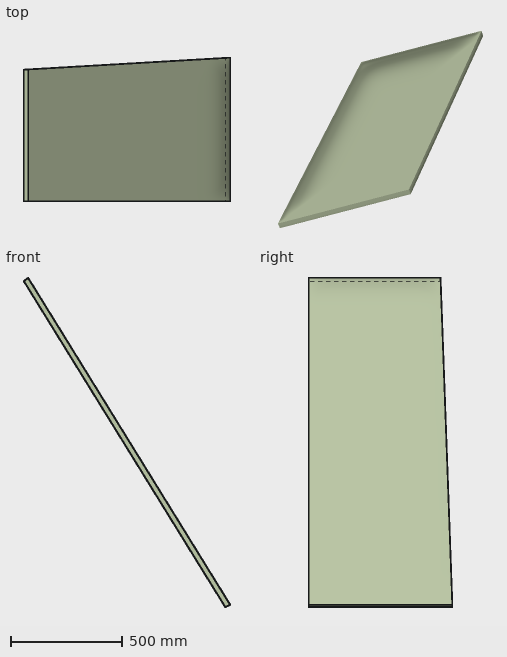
import math

import cadquery as cq

SIZE_X = 927.0
SIZE_Y = 645.78
SIZE_Z = 1478.63

THICKNESS = 25.0
END_BEVEL = math.radians(6.0)
SIDE_BEVEL = math.radians(3.0)
SIDE_TAPER = 52.9

END_SETBACK = THICKNESS * math.tan(END_BEVEL)
SIDE_SETBACK = THICKNESS * math.tan(SIDE_BEVEL)
END_FACE_WIDTH = THICKNESS / math.cos(END_BEVEL)

TILT_ITERATIONS = 30


def fit_slope():
    """Return the upper face's run along X, its drop along Z and its tilt from vertical.

    The upper face stretches from the top of the part to its +X limit. The end faces
    take up the rest of SIZE_X and SIZE_Z, by amounts that depend on the tilt, so the
    tilt is refined repeatedly.
    """
    tilt = math.atan2(SIZE_X, SIZE_Z)
    for _ in range(TILT_ITERATIONS):
        run = SIZE_X - END_FACE_WIDTH * math.cos(tilt + END_BEVEL)
        drop = SIZE_Z - END_FACE_WIDTH * math.sin(tilt - END_BEVEL)
        tilt = math.atan2(run, drop)
    return run, drop, tilt


def upper_face_plane(run, tilt):
    """Plane of the upper face: local x runs down the slope, local y is +Y."""
    return cq.Plane(
        origin=(SIZE_X - run, 0, SIZE_Z),
        xDir=(math.sin(tilt), 0, -math.cos(tilt)),
        normal=(math.cos(tilt), 0, math.sin(tilt)),
    )


def face_outline(length, end_setback, side_setback):
    """Corners of a panel face, moved in at both ends and at the tapered +Y side."""
    def side_y(x):
        return SIZE_Y - SIDE_TAPER * (1 - x / length) - side_setback

    upper_end = end_setback
    lower_end = length - end_setback
    return [
        (upper_end, 0),
        (lower_end, 0),
        (lower_end, side_y(lower_end)),
        (upper_end, side_y(upper_end)),
    ]


def bevelled_panel():
    """Flat tapered panel lofted from its upper face to its smaller lower face."""
    run, drop, tilt = fit_slope()
    length = math.hypot(run, drop)
    return (
        cq.Workplane(upper_face_plane(run, tilt))
        .polyline(face_outline(length, 0, 0))
        .close()
        .workplane(offset=-THICKNESS)
        .polyline(face_outline(length, END_SETBACK, SIDE_SETBACK))
        .close()
        .loft(ruled=True)
    )


result = bevelled_panel()